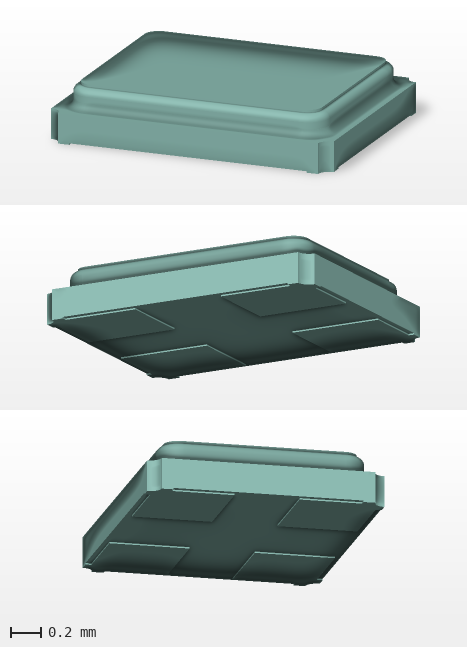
import cadquery as cq


LENGTH = 2.0
WIDTH = 1.6
NOTCH_RADIUS = 0.08
BASE_HEIGHT = 0.2

LID_MARGIN = 0.1
LID_CORNER_RADIUS = 0.15
BEND_RADIUS = 0.05
LID_WALL_HEIGHT = 0.05
TOP_STEP_HEIGHT = 0.02

PAD_THICKNESS = 0.01
PAD_LENGTH = 0.68
PAD_WIDTH = 0.58
PAD_INSET = 0.04
PAD_TAB = 0.16

BASE_TOP = PAD_THICKNESS + BASE_HEIGHT
FOOT_TOP = BASE_TOP + BEND_RADIUS
SHOULDER_TOP = FOOT_TOP + LID_WALL_HEIGHT + BEND_RADIUS
TOTAL_HEIGHT = SHOULDER_TOP + TOP_STEP_HEIGHT


def lid_layer(offset, bottom, top):
    """Rounded block whose outline is the lid wall, offset outward by the given amount."""
    length = LENGTH - 2 * (LID_MARGIN - offset)
    width = WIDTH - 2 * (LID_MARGIN - offset)
    layer = cq.Workplane("XY", origin=(0, 0, bottom)).rect(length, width).extrude(top - bottom)
    return layer.edges("|Z").fillet(LID_CORNER_RADIUS + offset)


def corner_posts():
    """Round cutters, one on each corner of the base."""
    corners = cq.Workplane("XY").rect(LENGTH, WIDTH, forConstruction=True).vertices()
    return corners.circle(NOTCH_RADIUS).extrude(BASE_TOP)


def make_base():
    """Plate with a concave notch at each corner."""
    plate = cq.Workplane("XY", origin=(0, 0, PAD_THICKNESS)).rect(LENGTH, WIDTH).extrude(BASE_HEIGHT)
    return plate.cut(corner_posts())


def flare_cutter():
    """Ring that hollows the foot: a quarter circle swept around outside the lid wall."""
    wall_x = LENGTH / 2 - LID_MARGIN
    wall_y = WIDTH / 2 - LID_MARGIN
    path = cq.Workplane("XY", origin=(0, 0, FOOT_TOP)).rect(
        2 * (wall_x + BEND_RADIUS), 2 * (wall_y + BEND_RADIUS)).extrude(BEND_RADIUS)
    path = path.edges("|Z").fillet(LID_CORNER_RADIUS + BEND_RADIUS).faces("<Z").wires()
    profile = cq.Workplane("XZ").center(wall_x + BEND_RADIUS, FOOT_TOP).circle(BEND_RADIUS)
    return profile.sweep(path)


def make_package():
    """Base carrying the lid: flared foot, wall with rounded shoulder, and top step."""
    foot = lid_layer(BEND_RADIUS, BASE_TOP, FOOT_TOP).cut(flare_cutter())
    wall = lid_layer(0, FOOT_TOP, SHOULDER_TOP).faces(">Z").edges().fillet(BEND_RADIUS)
    top_step = lid_layer(-BEND_RADIUS, SHOULDER_TOP, TOTAL_HEIGHT)
    return make_base().union(foot).union(wall).union(top_step)


def make_pad(side_x, side_y):
    """Inset rectangle with a notched tab reaching out to one corner of the base."""
    corner = (side_x * LENGTH / 2, side_y * WIDTH / 2)
    inner = (corner[0] - side_x * PAD_LENGTH, corner[1] - side_y * PAD_WIDTH)
    tab = cq.Workplane("XY").box(
        PAD_TAB, PAD_TAB, PAD_THICKNESS, centered=(True, True, False)
    ).translate((corner[0] - side_x * PAD_TAB / 2, corner[1] - side_y * PAD_TAB / 2, 0))
    field_length = PAD_LENGTH - PAD_INSET
    field_width = PAD_WIDTH - PAD_INSET
    field = cq.Workplane("XY").box(
        field_length, field_width, PAD_THICKNESS, centered=(True, True, False)
    ).translate((inner[0] + side_x * field_length / 2, inner[1] + side_y * field_width / 2, 0))
    return field.union(tab).cut(corner_posts())


package = make_package()
pads = [make_pad(side_x, side_y) for side_x in (-1, 1) for side_y in (-1, 1)]

result = cq.Compound.makeCompound([package.solids().val(), *[pad.solids().val() for pad in pads]])